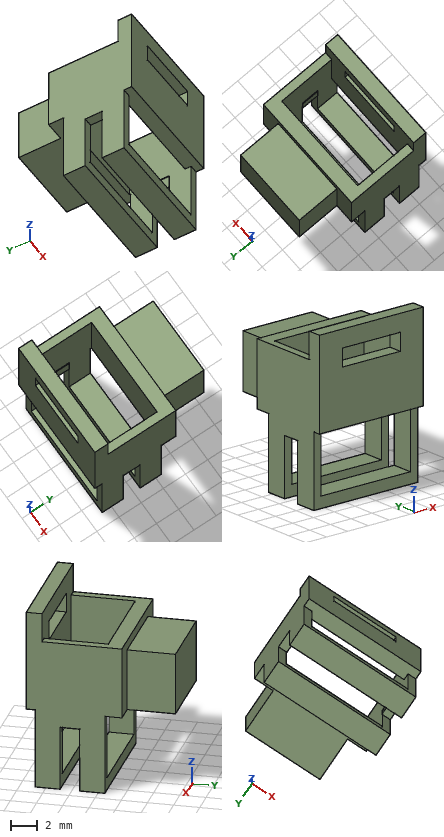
import cadquery as cq

WIDTH = 10.0
DEPTH = 11.0
HEIGHT = 14.0

BODY_BOTTOM = 6.2
BOX_TOP = 11.75
FRONT_WALL = 1.2
REAR_WALL = 1.2
SIDE_WALL = 0.7
BODY_DEPTH = 7.31
INNER_WIDTH = WIDTH - 2 * SIDE_WALL

WINDOW_WIDTH = 5.55
WINDOW_BOTTOM = 11.0
WINDOW_HEIGHT = 1.5

BLOCK_WIDTH = 6.65
BLOCK_TOP = 11.0

FRAME_FRONT = 0.67
FRAME_THICKNESS = 1.92
FRAME_GAP = 1.5
FRAME_BAR = 1.0
WEB_BOTTOM = 5.0
WEB_THICKNESS = 0.75


def centered_box(width, front, back, bottom, top):
    """Box symmetric about X = 0, spanning the given Y and Z limits."""
    size = (width, back - front, top - bottom)
    return cq.Workplane("XY").box(*size, centered=(True, False, False)).translate((0, front, bottom))


def make_body():
    plate = centered_box(WIDTH, 0, FRONT_WALL, BODY_BOTTOM, HEIGHT)
    window_top = WINDOW_BOTTOM + WINDOW_HEIGHT
    window = centered_box(WINDOW_WIDTH, 0, FRONT_WALL, WINDOW_BOTTOM, window_top)
    box = centered_box(WIDTH, FRONT_WALL, BODY_DEPTH, BODY_BOTTOM, BOX_TOP)
    cavity = centered_box(INNER_WIDTH, FRONT_WALL, BODY_DEPTH - REAR_WALL, BODY_BOTTOM, BOX_TOP)
    return plate.cut(window).union(box.cut(cavity))


def make_frame(front):
    back = front + FRAME_THICKNESS
    outer = centered_box(WIDTH, front, back, 0, BODY_BOTTOM)
    opening = centered_box(INNER_WIDTH, front, back, FRAME_BAR, BODY_BOTTOM)
    return outer.cut(opening)


def make_webs():
    front = FRAME_FRONT + FRAME_THICKNESS
    back = front + FRAME_GAP
    outer = centered_box(WIDTH, front, back, WEB_BOTTOM, BODY_BOTTOM)
    opening = centered_box(WIDTH - 2 * WEB_THICKNESS, front, back, WEB_BOTTOM, BODY_BOTTOM)
    return outer.cut(opening)


result = make_body()
result = result.union(centered_box(BLOCK_WIDTH, BODY_DEPTH, DEPTH, BODY_BOTTOM, BLOCK_TOP))
for frame_index in range(2):
    frame_front = FRAME_FRONT + frame_index * (FRAME_THICKNESS + FRAME_GAP)
    result = result.union(make_frame(frame_front))
result = result.union(make_webs())